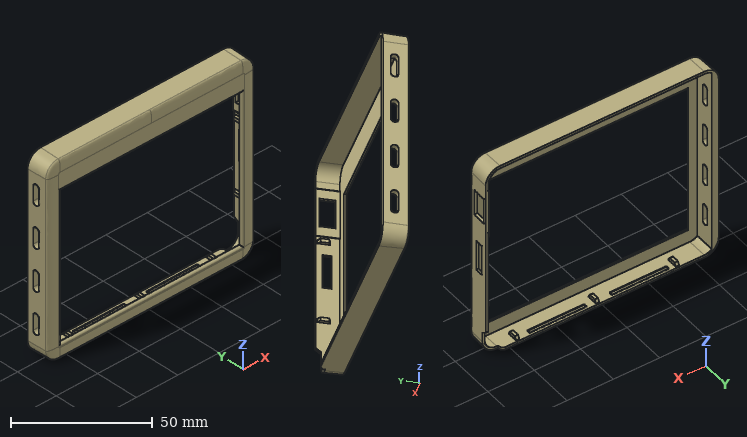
import cadquery as cq

WIDTH = 100.71
HEIGHT = 86.71
DEPTH = 10.1
BACK_Y = DEPTH / 2
FRONT_Y = -DEPTH / 2

CAP_DEPTH = 1.1
CAP_WIDTH = 5.2
CAP_SIDE_PULL = 0.9
CAP_FRONT_PULL = 2.2
WALL_DRAFT = 0.25
FLAT_CORNER_RADIUS = 0.8
SKIN_WIDTH = CAP_WIDTH + WALL_DRAFT
FLAT_WIDTH = WIDTH - 2 * SKIN_WIDTH
FLAT_HEIGHT = HEIGHT - 2 * SKIN_WIDTH
BACK_CORNER_RADIUS = FLAT_CORNER_RADIUS + SKIN_WIDTH

WALL = 1.15
LEFT_WALL = 3.0
LIP_THICKNESS = 1.25
CAVITY_WIDTH = WIDTH - 2 * WALL
CAVITY_HEIGHT = HEIGHT - 2 * WALL
CAVITY_FLOOR_Y = FRONT_Y + LIP_THICKNESS
INNER_RIGHT_X = CAVITY_WIDTH / 2
INNER_BOTTOM_Z = -CAVITY_HEIGHT / 2
OVERCUT = 1.0

WINDOW_WIDTH = 87.0
WINDOW_TOP_Z = 29.7
WINDOW_BOTTOM_Z = -36.4
WINDOW_RIM_RADIUS = 1.0
EDGE_REACH = 0.1

SLOT_LENGTH = 9.2
SLOT_HEIGHT = 2.9
SLOT_Y = 0.8
SLOT_PITCH = 18.6
SLOT_TOP_Z = 27.8
SLOT_COUNT = 4

UPPER_OPENING = (18.6, 30.0, 6.0)
MIDDLE_OPENING = (-6.2, 7.2, 3.4)
PAD_THICKNESS = 0.4
PAD_MARGIN = 4.0

SNAP_LENGTH = 1.4
SNAP_HEIGHT = 1.4
SNAP_ROOT = 0.3
SNAP_BACK_Y = 4.4
SNAP_CREST_BACK_Y = 3.6
SNAP_CREST_FRONT_Y = 0.5
SNAP_FRONT_Y = -0.3
RIGHT_SNAP_Z = (12.3, -20.0)
BOTTOM_SNAP_X = (-33.0, 1.5, 36.0)

GROOVE_LENGTH = 24.5
GROOVE_WIDTH = 1.5
GROOVE_DEPTH = 0.4
GROOVE_Y = 2.9
GROOVE_X = (-17.5, 18.0)

RELIEF_X = 43.5
RELIEF_END_RADIUS = 1.9
RELIEF_TOP_Z = -31.4
RELIEF_DEPTH = 2.1
RELIEF_END_BEVEL = 1.5


def box_between(x_range, y_range, z_range):
    """Axis-aligned box spanning the given (low, high) ranges."""
    lows, highs = zip(x_range, y_range, z_range)
    sizes = [high - low for low, high in zip(lows, highs)]
    return cq.Workplane("XY").box(*sizes, centered=False).translate(lows)


def rounded_block(width, height, radius, y_range):
    """Block centred on the Y axis with rounded corners along Y."""
    block = box_between((-width / 2, width / 2), y_range, (-height / 2, height / 2))
    return block.edges("|Y").fillet(radius)


def make_skin():
    """Drafted wall and rolled-over front edge, swept around the flat front face."""
    half_width = FLAT_WIDTH / 2
    half_height = FLAT_HEIGHT / 2
    radius = FLAT_CORNER_RADIUS
    straight_x = half_width - radius
    straight_z = half_height - radius
    path = (
        cq.Workplane("XZ")
        .moveTo(0, half_height)
        .lineTo(straight_x, half_height)
        .radiusArc((half_width, straight_z), radius)
        .lineTo(half_width, -straight_z)
        .radiusArc((straight_x, -half_height), radius)
        .lineTo(-straight_x, -half_height)
        .radiusArc((-half_width, -straight_z), radius)
        .lineTo(-half_width, straight_z)
        .radiusArc((-straight_x, half_height), radius)
        .close()
    )
    shoulder_y = FRONT_Y + CAP_DEPTH
    shoulder_z = half_height + CAP_WIDTH
    profile = (
        cq.Workplane("YZ")
        .moveTo(BACK_Y, half_height)
        .lineTo(BACK_Y, half_height + SKIN_WIDTH)
        .lineTo(shoulder_y, shoulder_z)
        .bezier(
            [
                (shoulder_y - CAP_SIDE_PULL, shoulder_z),
                (FRONT_Y, shoulder_z - CAP_FRONT_PULL),
                (FRONT_Y, half_height),
            ],
            includeCurrent=True,
        )
        .close()
    )
    return profile.sweep(path)


def make_shell():
    """Hollow frame, open at the back, with a thicker left wall."""
    core = rounded_block(FLAT_WIDTH, FLAT_HEIGHT, FLAT_CORNER_RADIUS, (FRONT_Y, BACK_Y))
    cavity = rounded_block(
        CAVITY_WIDTH,
        CAVITY_HEIGHT,
        BACK_CORNER_RADIUS - WALL,
        (CAVITY_FLOOR_Y, BACK_Y + OVERCUT),
    )
    left_wall_space = box_between(
        (-WIDTH / 2, -WIDTH / 2 + LEFT_WALL),
        (FRONT_Y, BACK_Y + OVERCUT),
        (-HEIGHT / 2, HEIGHT / 2),
    )
    return core.union(make_skin()).cut(cavity.cut(left_wall_space))


def cut_window(body):
    """Cut the display window and round its rim at the front face."""
    opening = box_between(
        (-WINDOW_WIDTH / 2, WINDOW_WIDTH / 2),
        (FRONT_Y - OVERCUT, BACK_Y),
        (WINDOW_BOTTOM_Z, WINDOW_TOP_Z),
    )
    rim = cq.selectors.BoxSelector(
        (-WINDOW_WIDTH / 2 - EDGE_REACH, FRONT_Y - EDGE_REACH, WINDOW_BOTTOM_Z - EDGE_REACH),
        (WINDOW_WIDTH / 2 + EDGE_REACH, FRONT_Y + EDGE_REACH, WINDOW_TOP_Z + EDGE_REACH),
    )
    return body.cut(opening).edges(rim).fillet(WINDOW_RIM_RADIUS)


def make_left_slots():
    """Row of upright slots through the left wall."""
    points = [(SLOT_Y, SLOT_TOP_Z - i * SLOT_PITCH) for i in range(SLOT_COUNT)]
    return (
        cq.Workplane("YZ", origin=(-WIDTH / 2 - OVERCUT, 0, 0))
        .pushPoints(points)
        .slot2D(SLOT_LENGTH, SLOT_HEIGHT, 90)
        .extrude(LEFT_WALL + 2 * OVERCUT)
    )


def make_right_opening(opening):
    """Rectangular opening through the right wall."""
    bottom_z, top_z, width = opening
    return box_between(
        (INNER_RIGHT_X - OVERCUT, WIDTH / 2 + OVERCUT),
        (SLOT_Y - width / 2, SLOT_Y + width / 2),
        (bottom_z, top_z),
    )


def make_pad():
    """Thickened stretch of the right wall around its upper opening."""
    bottom_z, top_z, _ = UPPER_OPENING
    return box_between(
        (INNER_RIGHT_X - PAD_THICKNESS, INNER_RIGHT_X),
        (CAVITY_FLOOR_Y, BACK_Y),
        (bottom_z - PAD_MARGIN, top_z + PAD_MARGIN),
    )


def make_snap():
    """Snap along X, standing on the XY plane, with a flat crest between two sloping faces."""
    return (
        cq.Workplane("YZ", origin=(-SNAP_LENGTH / 2, 0, 0))
        .moveTo(SNAP_FRONT_Y, -SNAP_ROOT)
        .lineTo(SNAP_BACK_Y, -SNAP_ROOT)
        .lineTo(SNAP_BACK_Y, 0)
        .lineTo(SNAP_CREST_BACK_Y, SNAP_HEIGHT)
        .lineTo(SNAP_CREST_FRONT_Y, SNAP_HEIGHT)
        .lineTo(SNAP_FRONT_Y, 0)
        .close()
        .extrude(SNAP_LENGTH)
    )


def make_groove(x):
    """Shallow lengthwise groove in the inside of the bottom wall."""
    return box_between(
        (x - GROOVE_LENGTH / 2, x + GROOVE_LENGTH / 2),
        (GROOVE_Y - GROOVE_WIDTH / 2, GROOVE_Y + GROOVE_WIDTH / 2),
        (INNER_BOTTOM_Z - GROOVE_DEPTH, INNER_BOTTOM_Z + OVERCUT),
    )


def cut_corner_relief(body):
    """Step the back edges down at the lower right corner, bevelled up the side, rounded below."""
    relief = box_between(
        (RELIEF_X, WIDTH / 2 + OVERCUT),
        (BACK_Y - RELIEF_DEPTH, BACK_Y + RELIEF_DEPTH),
        (-HEIGHT / 2 - OVERCUT, RELIEF_TOP_Z - RELIEF_END_BEVEL),
    )
    bevel = (
        cq.Workplane("YZ", origin=(RELIEF_X, 0, 0))
        .moveTo(BACK_Y - RELIEF_DEPTH, RELIEF_TOP_Z - RELIEF_END_BEVEL)
        .lineTo(BACK_Y, RELIEF_TOP_Z)
        .lineTo(BACK_Y, RELIEF_TOP_Z - RELIEF_END_BEVEL)
        .close()
        .extrude(WIDTH / 2 + OVERCUT - RELIEF_X)
    )
    bottom_wall_end = cq.selectors.BoxSelector(
        (RELIEF_X - EDGE_REACH, BACK_Y - EDGE_REACH, -HEIGHT / 2 - OVERCUT),
        (RELIEF_X + EDGE_REACH, BACK_Y + EDGE_REACH, RELIEF_TOP_Z),
    )
    return body.cut(relief.union(bevel)).edges(bottom_wall_end).fillet(RELIEF_END_RADIUS)


result = cut_window(make_shell()).union(make_pad()).cut(make_left_slots())

for opening in (UPPER_OPENING, MIDDLE_OPENING):
    result = result.cut(make_right_opening(opening))

for x in BOTTOM_SNAP_X:
    result = result.union(make_snap().translate((x, 0, INNER_BOTTOM_Z)))

for z in RIGHT_SNAP_Z:
    snap = make_snap().rotate((0, 0, 0), (0, 1, 0), -90)
    result = result.union(snap.translate((INNER_RIGHT_X, 0, z)))

for x in GROOVE_X:
    result = result.cut(make_groove(x))

result = cut_corner_relief(result)